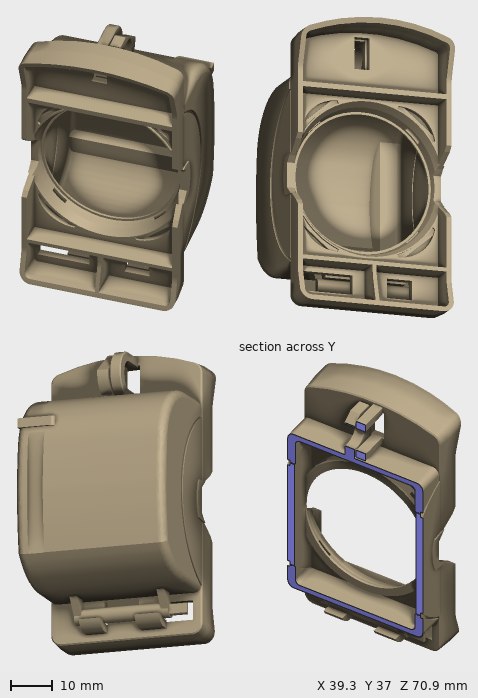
import cadquery as cq
import math

WIDTH = 39.3
DEPTH = 36.99
HEIGHT = 70.87
HALF_WIDTH = WIDTH / 2
TOP_Z = 37.85
BOTTOM_Z = TOP_Z - HEIGHT
TOP_ARC_RADIUS = 52.0
CORNER_RADIUS = 3.0
OVER = 60.0
ACROSS = (-OVER, OVER)
SLAB = 1.0

DRAFT_DEPTH = 4.94
DRAFT_ANGLE = 4.5
RIM_Y = -6.47
FLOOR_Y = -1.9
TOP_FLARE = (-10.85, 25.1)
BOTTOM_FLARE = (-8.9, -25.0)
FLARE_BEND_RADIUS = 5.5
BACK_CHAMFER = 0.3

NOTCH_FLOOR_Y = 1.0
NOTCH_FLOOR_HALF = 3.1
NOTCH_KNEE = (-0.6, 4.5)
NOTCH_MOUTH = (-5.2, 7.6)
NOTCH_MOUTH_HALF = 8.85

RIM_WALL = 1.3
POCKET_HALF = HALF_WIDTH - RIM_WALL
POCKET_ANGLE = 6.0
TOP_POCKET_BOTTOM = 21.55
MIDDLE_POCKET = (-21.45, 20.3)
BOTTOM_POCKET_TOP = -22.45
CENTRE_RIB_HALF = 0.5
POCKET_CORNER = 1.4

OPENING_FRONT_RADIUS = 19.25
OPENING_MID = (18.2, 0.2)
OPENING_BACK = (17.6, 2.4)
LIP_RADIUS = 17.0
COLLAR_RADIUS = 19.2
COLLAR_Y = 3.0
CRESCENT_HALF_SPAN = 17.5
CRESCENT_CENTRE_ANGLES = (50, 130, 230, 310)
CRESCENT_END_RADIUS = 20.3
CRESCENT_BULGE_RADIUS = 21.6
CRESCENT_INNER_RADIUS = 19.6
CRESCENT_STEP_X = 20.3
CRESCENT_STEP_DEPTH = 0.6
CRESCENT_DEPTH = 1.5
COLLAR_SLOT = (4.5, 1.0)
COLLAR_SLOT_Y = 1.4
COLLAR_SLOT_ANGLES = (45, 135, 225, 315)

CHEEK_RADIUS = 23.1
CHEEK_REACH_Y = 13.9
CHEEK_RAISED_REACH_Y = 13.1
CHEEK_RELIEF_REACH_Y = 14.4
CHEEK_INNER_X = 17.1
CHEEK_OUTER_X = 18.5
EAR_INNER_X = 18.2
EAR_SIDE_Y = 2.7
EAR_TOP_Y = 3.8
EAR_HALF_BASE = 5.1
EAR_HALF_TOP = 4.7

COVER_GAP = 0.5
COVER_TOP_Z = 24.9
COVER_BOTTOM_Z = -22.6
COVER_STRAIGHT_Y = 10.0
COVER_BACK_Y = TOP_FLARE[0] + DEPTH
ROOF_MID = (20.4, 20.9)
ROOF_END = (25.5, 10.5)
BACK_CORNER = (24.85, -15.75)
FLOOR_MID = (18.6, -20.75)
COVER_HALF_FRONT = 19.3
COVER_HALF_BACK = 19.0
COVER_FILLET = 1.9
COVER_WALL = 1.6
CAVITY_HALF = 16.9
CAVITY_FILLET = 1.2
LEDGE_Y = 22.2
LEDGE_X = 11.8
LEDGE_Z = -11.2
LEDGE_BEVEL = 1.8
LEDGE_BEVEL_Z = 1.6
GROOVE_X = (11.9, 15.95)
GROOVE_FLOOR_Y = 24.8
BAR_X = (9.4, 18.8)
BAR_END_RADIUS = 1.0
BAR_Y = (22.7, 24.95)
BAR_Z = (15.6, 17.9)

HASP_Y = 6.3
HASP_Z = 30.95
HASP_HOLE_RADIUS = 3.55
HASP_RADIUS = 5.7
STRAP_REACH_Y = 12.5
STRAP_X = (-3.0, -0.2)
STRAP_WINDOW_X = (-3.47, 0.4)
STRAP_WINDOW_HALF = 3.95
STRAP_CHAMFER = 0.25
FIN_X = (0.2, 2.95)
FIN_FRONT_Y = 0.9
FIN_TOP_Y = 5.0
FIN_BEVEL_ANGLE = 35.0
FIN_NECK = (9.5, 25.9)
FIN_TAIL = (15.1, COVER_TOP_Z - COVER_WALL / 2)

PIN_RADIUS = 1.9
PIN_Y = 2.1
PIN_Z = -26.75
PIN_HALF_LENGTH = 12.0
PIN_TAB_X = -16.5
PIN_TAB_THICKNESS = 0.9
PIN_TAB_RADIUS = 1.45
ARM_ROOT_Y = (2.9, 7.1)
ARM_ROOT_Z = COVER_BOTTOM_Z + COVER_WALL / 2
ARM_INNER_X = 10.2
HOOK_SPANS = ((-ARM_INNER_X, -4.0), (4.85, ARM_INNER_X))
HOOK_OUTER_RADIUS = 3.9
HOOK_TIP = (5.6, -28.0)
HOOK_BEND = (4.3, -29.8)
HOOK_FLAT = 0.3
HOOK_BACK_Y = 2.0
STOP_Z = (PIN_Z + PIN_RADIUS, -23.2)
WINDOW_Z = (-29.1, -24.3)
WINDOW_SPANS = ((-17.0, -4.0), (4.85, 11.15))


def block(xs, ys, zs):
    """Box between pairs of X, Y and Z limits."""
    size = [b - a for a, b in (xs, ys, zs)]
    return cq.Workplane("XY").box(*size, centered=False).translate((xs[0], ys[0], zs[0]))


def side_plane(x):
    """Sketch plane facing +X; sketch coordinates are Y and Z."""
    return cq.Workplane("YZ").workplane(offset=x)


def front_plane(y):
    """Sketch plane facing -Y; sketch coordinates are X and Z."""
    return cq.Workplane("XZ", origin=(0, y, 0))


def side_prism(points, xs):
    """Closed polygon of (Y, Z) points extruded between two X limits."""
    return side_plane(xs[0]).polyline(points).close().extrude(xs[1] - xs[0])


def side_disc(y, z, radius, xs):
    """Cylinder along X."""
    return side_plane(xs[0]).center(y, z).circle(radius).extrude(xs[1] - xs[0])


def arched_outline(y, inset, bottom):
    """Flat-bottomed outline with an arched top, inset from the outer edge."""
    half = HALF_WIDTH - inset
    radius = TOP_ARC_RADIUS - inset
    arc_centre_z = TOP_Z - TOP_ARC_RADIUS
    shoulder = arc_centre_z + math.sqrt(radius**2 - half**2)
    return (front_plane(y).moveTo(-half, bottom).lineTo(half, bottom).lineTo(half, shoulder)
            .threePointArc((0, TOP_Z - inset), (-half, shoulder)).close())


def rim_sketch():
    """Rim outline with rounded corners, at the front of the drafted part."""
    slab = arched_outline(-DRAFT_DEPTH, 0, BOTTOM_Z).extrude(SLAB).edges("|Y").fillet(CORNER_RADIUS)
    return front_plane(-DRAFT_DEPTH).add(slab.faces(">Y").wires().val()).toPending()


def flared_side_shape():
    """Side outline of the base, with the rim bending forward at both ends."""
    shape = side_prism([
        (0, BOTTOM_Z), (BOTTOM_FLARE[0], BOTTOM_Z), (RIM_Y, BOTTOM_FLARE[1]),
        (RIM_Y, TOP_FLARE[1]), (TOP_FLARE[0], TOP_Z), (0, TOP_Z),
    ], ACROSS)
    for bend_z in (BOTTOM_FLARE[1], TOP_FLARE[1]):
        nearest = cq.selectors.NearestToPointSelector((0, RIM_Y, bend_z))
        shape = shape.edges("|X").edges(nearest).fillet(FLARE_BEND_RADIUS)
    return shape


def base_blank():
    """Rim block: drafted at the back, straight in front, trimmed to the flared side outline."""
    back = rim_sketch().extrude(-DRAFT_DEPTH, taper=DRAFT_ANGLE)
    back = back.faces(">Y").edges().chamfer(BACK_CHAMFER)
    front = rim_sketch().extrude(OVER)
    return back.union(front).intersect(flared_side_shape())


def pocket_cutter(sketch_at_rim):
    """Drafted pocket behind the rim face, straight in front of it."""
    drafted = sketch_at_rim().extrude(RIM_Y - FLOOR_Y, taper=POCKET_ANGLE)
    return drafted.union(sketch_at_rim().extrude(-RIM_Y))


def rectangle_sketch(xs, zs):
    """Rectangle on the rim plane between X and Z limits."""
    return (front_plane(RIM_Y).center(sum(xs) / 2, sum(zs) / 2)
            .rect(xs[1] - xs[0], zs[1] - zs[0]))


def top_pocket_sketch():
    """Top pocket outline; only its two upper corners are rounded."""
    slab = arched_outline(RIM_Y, RIM_WALL, TOP_POCKET_BOTTOM).extrude(SLAB)
    slab = slab.edges("|Y").edges(">Z").fillet(POCKET_CORNER)
    return front_plane(RIM_Y).add(slab.faces(">Y").wires().val()).toPending()


def bottom_pocket():
    """Left bottom pocket, with a rounded outer bottom corner."""
    zs = (BOTTOM_Z + RIM_WALL, BOTTOM_POCKET_TOP)
    left, right = -POCKET_HALF, -CENTRE_RIB_HALF

    def sketch():
        return (front_plane(RIM_Y).moveTo(right, zs[0]).lineTo(right, zs[1]).lineTo(left, zs[1])
                .lineTo(left, zs[0] + POCKET_CORNER)
                .radiusArc((left + POCKET_CORNER, zs[0]), -POCKET_CORNER).close())

    return pocket_cutter(sketch)


def front_pockets():
    """Top, middle and two bottom pockets, separated by ribs."""
    top = pocket_cutter(top_pocket_sketch)
    middle = pocket_cutter(lambda: rectangle_sketch((-POCKET_HALF, POCKET_HALF), MIDDLE_POCKET))
    bottom_left = bottom_pocket()
    return [top, middle, bottom_left, bottom_left.mirror("YZ")]


def opening_cutter():
    """Tapered opening from the front of the plate to a small lip at the end of the collar."""
    profile = [(0, FLOOR_Y), (OPENING_FRONT_RADIUS, FLOOR_Y), OPENING_MID, OPENING_BACK,
               (LIP_RADIUS, OPENING_BACK[1]), (LIP_RADIUS, COLLAR_Y), (0, COLLAR_Y)]
    return cq.Workplane("XY").polyline(profile).close().revolve(360, (0, 0), (0, 1))


def collar():
    """Ring around the opening with one tangential slot on each diagonal."""
    ring = front_plane(COLLAR_Y).circle(COLLAR_RADIUS).extrude(COLLAR_Y - FLOOR_Y)
    for angle in COLLAR_SLOT_ANGLES:
        slot = cq.Workplane("XY").box(COLLAR_RADIUS, COLLAR_SLOT[1], COLLAR_SLOT[0])
        slot = slot.translate((COLLAR_RADIUS, COLLAR_SLOT_Y, 0))
        ring = ring.cut(slot.rotate((0, 0, 0), (0, 1, 0), angle))
    return ring


def crescent_recess():
    """Two-step crescent recess in the plate, outside the opening and centred on the +X axis."""
    span = math.radians(CRESCENT_HALF_SPAN)

    def at_end(radius, side):
        return (radius * math.cos(span), side * radius * math.sin(span))

    crescent = (front_plane(FLOOR_Y).moveTo(*at_end(CRESCENT_INNER_RADIUS, -1))
                .lineTo(*at_end(CRESCENT_END_RADIUS, -1))
                .threePointArc((CRESCENT_BULGE_RADIUS, 0), at_end(CRESCENT_END_RADIUS, 1))
                .lineTo(*at_end(CRESCENT_INNER_RADIUS, 1))
                .threePointArc((CRESCENT_INNER_RADIUS, 0), at_end(CRESCENT_INNER_RADIUS, -1)).close()
                .extrude(-CRESCENT_DEPTH))
    step = block((0, CRESCENT_STEP_X), (FLOOR_Y + CRESCENT_STEP_DEPTH, OVER), ACROSS)
    return crescent.cut(step)


def cheek_disc(reach_y):
    """Disc across the whole part whose furthest point lies at reach_y."""
    return side_disc(reach_y - CHEEK_RADIUS, 0, CHEEK_RADIUS, ACROSS)


def cheeks():
    """Round side plates with a raised middle, and an ear behind the notch on each."""
    back_only = block(ACROSS, (FLOOR_Y, OVER), ACROSS)
    plate = cheek_disc(CHEEK_REACH_Y).intersect(block((-CHEEK_OUTER_X, CHEEK_OUTER_X), ACROSS, ACROSS))
    raised = cheek_disc(CHEEK_RAISED_REACH_Y)
    gap_between = block((-CHEEK_INNER_X, CHEEK_INNER_X), ACROSS, ACROSS)
    discs = plate.union(raised).intersect(back_only).intersect(cover_envelope(0)).cut(gap_between)
    ear = (side_plane(EAR_INNER_X).moveTo(FLOOR_Y, -EAR_HALF_BASE).lineTo(0, -EAR_HALF_BASE)
           .lineTo(EAR_SIDE_Y, -EAR_HALF_TOP).threePointArc((EAR_TOP_Y, 0), (EAR_SIDE_Y, EAR_HALF_TOP))
           .lineTo(0, EAR_HALF_BASE).lineTo(FLOOR_Y, EAR_HALF_BASE).close()
           .extrude(HALF_WIDTH - EAR_INNER_X))
    return discs.union(ear).union(ear.mirror("YZ"))


def side_notch():
    """Notch across the whole rim, open to the front and narrowing to a flat floor."""
    points = [(NOTCH_FLOOR_Y, NOTCH_FLOOR_HALF), NOTCH_KNEE, NOTCH_MOUTH, (RIM_Y, NOTCH_MOUTH_HALF),
              (-OVER, NOTCH_MOUTH_HALF)]
    mirrored = [(y, -z) for y, z in reversed(points)]
    return side_prism(points + mirrored, ACROSS)


def round_ended(xs, centre_y, radius):
    """Round-ended shape at the hasp height, standing on the back of the plate."""
    root = block(xs, (0, centre_y), (HASP_Z - radius, HASP_Z + radius))
    return root.union(side_disc(centre_y, HASP_Z, radius, xs))


def hasp_strap():
    """U-shaped strap with a round-ended slot that opens into the plate window."""
    centre_y = STRAP_REACH_Y - HASP_RADIUS
    strap = round_ended(STRAP_X, centre_y, HASP_RADIUS)
    strap = strap.faces(">X or <X").edges("not <Y").chamfer(STRAP_CHAMFER)
    return strap.cut(round_ended(STRAP_X, HASP_Y, HASP_HOLE_RADIUS))


def hinge_hooks():
    """J-shaped hooks under the pin, each with a stop block above the pin."""
    pieces = []
    for xs in HOOK_SPANS:
        hook = (side_plane(xs[0]).moveTo(0, PIN_Z - HOOK_OUTER_RADIUS)
                .lineTo(PIN_Y + HOOK_FLAT, PIN_Z - HOOK_OUTER_RADIUS)
                .threePointArc(HOOK_BEND, HOOK_TIP)
                .lineTo(PIN_Y + PIN_RADIUS, HOOK_TIP[1]).lineTo(PIN_Y, PIN_Z - PIN_RADIUS)
                .lineTo(0, PIN_Z - PIN_RADIUS).close().extrude(xs[1] - xs[0]))
        pieces.append(hook)
        pieces.append(block(xs, (0, HOOK_BACK_Y), STOP_Z))
    return pieces


def plate_windows():
    """Windows through the plate behind the strap and both hooks."""
    strap_zs = (HASP_Z - STRAP_WINDOW_HALF, HASP_Z + STRAP_WINDOW_HALF)
    windows = [block(STRAP_WINDOW_X, (FLOOR_Y, 0), strap_zs)]
    for xs in WINDOW_SPANS:
        windows.append(block(xs, (FLOOR_Y, 0), WINDOW_Z))
    return windows


def make_base():
    base = base_blank()
    for pocket in front_pockets():
        base = base.cut(pocket)
    base = base.union(collar().intersect(block((-CHEEK_OUTER_X, CHEEK_OUTER_X), ACROSS, ACROSS)))
    base = base.union(cheeks()).cut(opening_cutter()).cut(side_notch())
    for angle in CRESCENT_CENTRE_ANGLES:
        base = base.cut(crescent_recess().rotate((0, 0, 0), (0, 1, 0), angle))
    for window in plate_windows():
        base = base.cut(window)
    base = base.union(hasp_strap())
    for piece in hinge_hooks():
        base = base.union(piece)
    return base.cut(hinge_pin())


def cover_profile(inset=0):
    """Prism across the part: straight roof and floor, curved into a bulged back, inset all round."""
    roof_z = COVER_TOP_Z - inset
    floor_z = COVER_BOTTOM_Z + inset
    diagonal = inset * math.sqrt(0.5)
    return (side_plane(-OVER).moveTo(0, floor_z).lineTo(0, roof_z)
            .lineTo(COVER_STRAIGHT_Y, roof_z)
            .threePointArc((ROOF_MID[0] - diagonal, ROOF_MID[1] - diagonal),
                           (ROOF_END[0] - inset, ROOF_END[1]))
            .threePointArc((COVER_BACK_Y - inset, 0), (BACK_CORNER[0] - inset, BACK_CORNER[1] + inset))
            .threePointArc((FLOOR_MID[0] - inset / 2, FLOOR_MID[1] + inset), (COVER_STRAIGHT_Y, floor_z))
            .close().extrude(2 * OVER))


def cover_envelope(front_y):
    """Outer shape of the cover: tapered sides with rounded edges."""
    taper = (cq.Workplane("XY").workplane(offset=-OVER)
             .polyline([(-COVER_HALF_FRONT, 0), (COVER_HALF_FRONT, 0),
                        (COVER_HALF_BACK, COVER_BACK_Y), (-COVER_HALF_BACK, COVER_BACK_Y)])
             .close().extrude(2 * OVER))
    shape = cover_profile().intersect(taper)
    side_edges = shape.faces("<X or >X").edges("not <Y")
    shape = side_edges.fillet(COVER_FILLET)
    return shape.intersect(block(ACROSS, (front_y, OVER), ACROSS))


def cover_cavity():
    """Cavity following the side outline, with a stepped back wall on the right and below."""
    outline = cover_profile(COVER_WALL)
    cavity = outline.intersect(block((-CAVITY_HALF, CAVITY_HALF), ACROSS, ACROSS))
    cavity = cavity.faces("<X or >X").edges("not <Y").fillet(CAVITY_FILLET)
    right_ledge = (cq.Workplane("XY").workplane(offset=-OVER).moveTo(LEDGE_X, LEDGE_Y)
                   .lineTo(CAVITY_HALF - CAVITY_FILLET, LEDGE_Y)
                   .radiusArc((CAVITY_HALF, LEDGE_Y - CAVITY_FILLET), CAVITY_FILLET)
                   .lineTo(OVER, LEDGE_Y - CAVITY_FILLET).lineTo(OVER, OVER)
                   .lineTo(LEDGE_X - LEDGE_BEVEL, OVER)
                   .lineTo(LEDGE_X - LEDGE_BEVEL, COVER_BACK_Y - COVER_WALL).close()
                   .extrude(2 * OVER))
    bottom_ledge = side_prism([(LEDGE_Y, LEDGE_Z), (COVER_BACK_Y - COVER_WALL, LEDGE_Z + LEDGE_BEVEL_Z),
                               (OVER, LEDGE_Z + LEDGE_BEVEL_Z), (OVER, -OVER), (LEDGE_Y, -OVER)],
                              ACROSS)
    return cavity.cut(right_ledge).cut(bottom_ledge)


def hasp_fin():
    """Round-headed fin beside the strap: bevelled top, low tail on the roof, padlock hole."""
    top_z = HASP_Z + HASP_RADIUS
    bevel_drop = (OVER - FIN_TOP_Y) * math.tan(math.radians(FIN_BEVEL_ANGLE))
    above_bevel = side_prism([(FIN_TOP_Y, top_z), (OVER, top_z), (OVER, top_z - bevel_drop)], ACROSS)
    in_front = block(ACROSS, (-OVER, FIN_FRONT_Y), ACROSS)
    head = round_ended(FIN_X, STRAP_REACH_Y - HASP_RADIUS, HASP_RADIUS).cut(above_bevel).cut(in_front)
    tail_y, root_z = FIN_TAIL
    neck_y, neck_z = FIN_NECK
    tail = side_prism([(FIN_FRONT_Y, root_z), (FIN_FRONT_Y, neck_z), (neck_y, neck_z), (tail_y, root_z)],
                      FIN_X)
    hole = side_disc(HASP_Y, HASP_Z, HASP_HOLE_RADIUS, FIN_X)
    return head.union(tail).cut(cover_profile(COVER_WALL / 2)).cut(hole)


def hinge_pin():
    """Pin along X with a thin tab at its left end."""
    pin = side_disc(PIN_Y, PIN_Z, PIN_RADIUS, (-PIN_HALF_LENGTH, PIN_HALF_LENGTH))
    tab = side_disc(PIN_Y, PIN_Z, PIN_TAB_RADIUS, (PIN_TAB_X, 0))
    return pin.union(tab.intersect(block(ACROSS, (PIN_Y, PIN_Y + PIN_TAB_THICKNESS), ACROSS)))


def hinge_arm():
    """Slanted right arm from the cover floor to the pin."""
    front_y, back_y = ARM_ROOT_Y
    return side_prism([(front_y, ARM_ROOT_Z), (back_y, ARM_ROOT_Z), (back_y, COVER_BOTTOM_Z),
                       (PIN_Y + PIN_RADIUS, PIN_Z), (PIN_Y, PIN_Z), (front_y, COVER_BOTTOM_Z)],
                      (ARM_INNER_X, PIN_HALF_LENGTH))


def back_groove():
    """Upright groove in the back face near the right edge."""
    return block(GROOVE_X, (GROOVE_FLOOR_Y, OVER), ACROSS)


def corner_bar():
    """Short bar across the top of the groove, rounded at its left end."""
    bar = block(BAR_X, BAR_Y, BAR_Z)
    return bar.edges("|Z and <X").fillet(BAR_END_RADIUS)


def make_cover():
    cover = cover_envelope(COVER_GAP).cut(back_groove()).union(corner_bar())
    cover = cover.cut(cover_cavity())
    relief = cheek_disc(CHEEK_RELIEF_REACH_Y).cut(block((-CHEEK_OUTER_X, CHEEK_OUTER_X), ACROSS, ACROSS))
    cover = cover.cut(cheek_disc(CHEEK_REACH_Y)).cut(relief)
    right_arm = hinge_arm()
    cover = cover.union(hasp_fin()).union(right_arm).union(right_arm.mirror("YZ"))
    return cover.union(hinge_pin())


base = make_base()
cover = make_cover()

result = cq.Compound.makeCompound([base.solids().val(), cover.solids().val()])